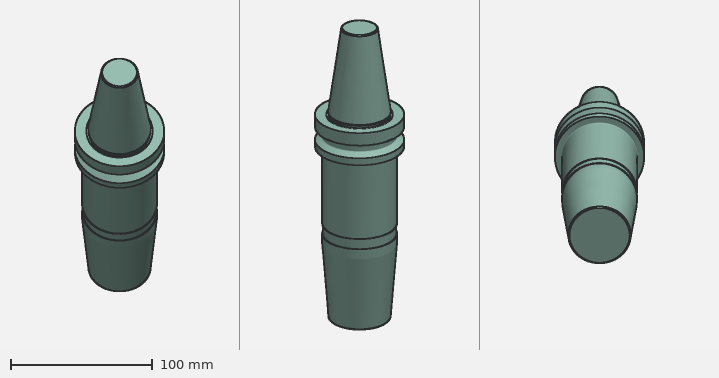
import cadquery as cq

total_height = 225.5
flange_top = 158.0
flange_height = 25.0
flange_bottom = flange_top - flange_height
band_groove_top = 73.0
band_groove_bottom = 65.1
nose_taper_top = 57.5

flange_diameter = 63.0
body_diameter = 53.0
band_groove_diameter = 52.0
nose_diameter = 44.2
shank_diameter = 44.5
shank_end_diameter = 26.1

groove_floor_diameter = 53.2
groove_floor_width = 4.0
groove_wall_height = 3.0
upper_rim_height = 9.7

nose_chamfer = 1.0
shank_end_chamfer = 1.0
body_root_fillet = 0.7
groove_floor_fillet = 0.7

relief_diameter = 46.9
relief_depth = 0.7
neck_diameter = 43.5
neck_height = 1.0
shank_start_height = 2.0

groove_top = flange_top - upper_rim_height
floor_top = groove_top - groove_wall_height
floor_bottom = floor_top - groove_floor_width
groove_bottom = floor_bottom - groove_wall_height


def half_profile():
    """Radius and height of each corner, from the nose to the shank end."""
    flange_radius = flange_diameter / 2
    body_radius = body_diameter / 2
    band_radius = band_groove_diameter / 2
    nose_radius = nose_diameter / 2
    floor_radius = groove_floor_diameter / 2
    shank_radius = shank_diameter / 2
    relief_radius = relief_diameter / 2
    relief_floor = flange_top - relief_depth
    neck_radius = neck_diameter / 2
    shank_end_radius = shank_end_diameter / 2
    return [
        (0, 0),
        (nose_radius - nose_chamfer, 0),
        (nose_radius, nose_chamfer),
        (body_radius, nose_taper_top),
        (body_radius, band_groove_bottom),
        (band_radius, band_groove_bottom),
        (band_radius, band_groove_top),
        (body_radius, band_groove_top),
        (body_radius, flange_bottom),
        (flange_radius, flange_bottom),
        (flange_radius, groove_bottom),
        (floor_radius, floor_bottom),
        (floor_radius, floor_top),
        (flange_radius, groove_top),
        (flange_radius, flange_top),
        (relief_radius, flange_top),
        (relief_radius, relief_floor),
        (neck_radius, relief_floor),
        (neck_radius, flange_top + neck_height),
        (shank_radius, flange_top + shank_start_height),
        (shank_end_radius, total_height - shank_end_chamfer),
        (shank_end_radius - shank_end_chamfer, total_height),
        (0, total_height),
    ]


def round_corner(body, diameter, height, radius):
    """Fillet the circular edge that has this diameter and height."""
    tolerance = 0.02
    reach = diameter / 2 + tolerance
    corner = cq.selectors.BoxSelector(
        (-reach, -reach, height - tolerance),
        (reach, reach, height + tolerance),
        boundingbox=True,
    )
    return body.edges(corner).fillet(radius)


result = cq.Workplane("XZ").polyline(half_profile()).close().revolve(360, (0, 0), (0, 1))

result = round_corner(result, body_diameter, flange_bottom, body_root_fillet)
for floor_edge in (floor_bottom, floor_top):
    result = round_corner(result, groove_floor_diameter, floor_edge, groove_floor_fillet)